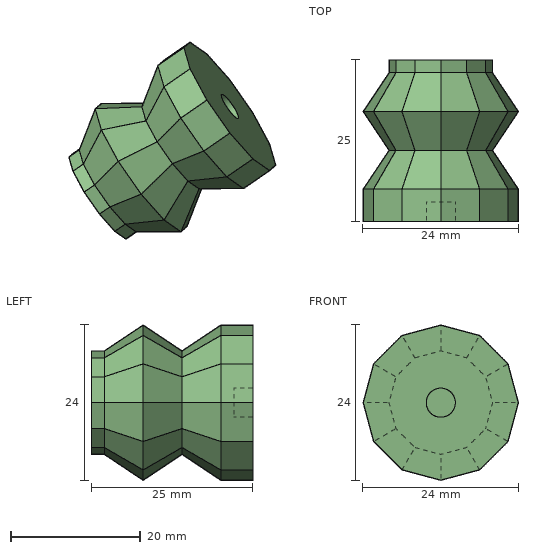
import cadquery as cq

side_count = 12
base_diameter = 24.0
neck_diameter = 16.0
base_length = 5.0
taper_length = 6.0
end_length = 2.0
total_length = base_length + 3 * taper_length + end_length
base_y = -total_length / 2

bore_diameter = 4.5
bore_depth = 3.0


def plane_at(y):
    """Workplane square to the knob axis, facing +Y."""
    return cq.Workplane("ZX", origin=(0, y, 0))


def section(start_y, length, start_diameter, end_diameter):
    """Flat-sided section running from one twelve-sided outline to the next."""
    return (
        plane_at(start_y)
        .polygon(side_count, start_diameter)
        .workplane(offset=length)
        .polygon(side_count, end_diameter)
        .loft(ruled=True, combine=True)
    )


def knob_body():
    """Straight base, three alternating tapers and a short straight end."""
    following_sections = [
        (taper_length, neck_diameter),
        (taper_length, base_diameter),
        (taper_length, neck_diameter),
        (end_length, neck_diameter),
    ]
    body = section(base_y, base_length, base_diameter, base_diameter)
    start_y = base_y + base_length
    start_diameter = base_diameter
    for length, end_diameter in following_sections:
        body = body.union(section(start_y, length, start_diameter, end_diameter))
        start_y += length
        start_diameter = end_diameter
    return body


bore = plane_at(base_y).circle(bore_diameter / 2).extrude(bore_depth)

result = knob_body().cut(bore)